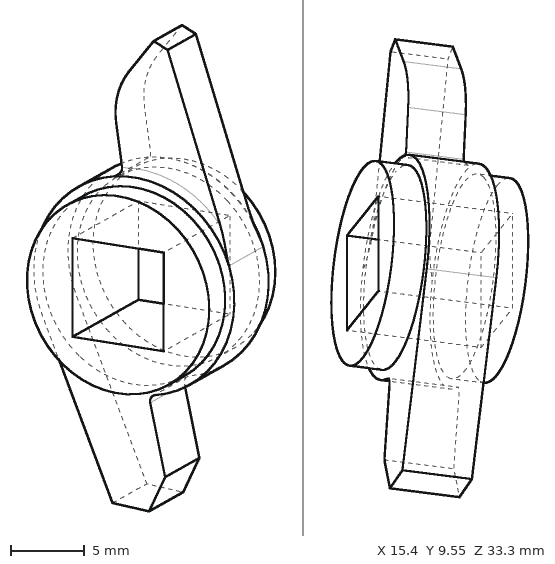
import cadquery as cq
import math

hub_radius = 7.0
hub_length = 9.55
square_bore = 7.0

disc_radius = 7.7
disc_thickness = 4.95

upper_arm_thickness = 4.1
upper_tip_outer = (2.35, 16.97)
upper_tip_inner = (1.28, 17.45)
upper_shoulder = (-1.92, 13.33)
upper_root_x = -1.07
shoulder_radius = 5.0

lower_tip_outer = (-1.655, -15.67)
lower_tip_inner = (1.15, -15.85)
lower_shoulder = (2.39, -13.23)
lower_root_x = 1.13

root_fillet = 0.5


def height_on_disc(x):
    """Positive z of the disc rim at a given x."""
    return math.sqrt(disc_radius**2 - x**2)


def tangent_point(point):
    """Rim point where the line from an arm tip touches the disc, clockwise from the tip."""
    x, z = point
    angle = math.atan2(z, x) - math.acos(disc_radius / math.hypot(x, z))
    return (disc_radius * math.cos(angle), disc_radius * math.sin(angle))


upper_root = (upper_root_x, height_on_disc(upper_root_x))
lower_root = (lower_root_x, -height_on_disc(lower_root_x))


def fillet_corner(body, corner, radius):
    """Round the Y-parallel edge that stands on an outline corner."""
    x, z = corner
    edge = cq.selectors.NearestToPointSelector((x, 0, z))
    return body.edges("|Y").edges(edge).fillet(radius)


def make_plate():
    """Disc and both arms as one plate of disc thickness."""
    plate = (
        cq.Workplane("XZ")
        .moveTo(*tangent_point(upper_tip_outer))
        .lineTo(*upper_tip_outer)
        .lineTo(*upper_tip_inner)
        .lineTo(*upper_shoulder)
        .lineTo(*upper_root)
        .threePointArc((-disc_radius, 0), tangent_point(lower_tip_outer))
        .lineTo(*lower_tip_outer)
        .lineTo(*lower_tip_inner)
        .lineTo(*lower_shoulder)
        .lineTo(*lower_root)
        .threePointArc((disc_radius, 0), tangent_point(upper_tip_outer))
        .close()
        .extrude(disc_thickness / 2, both=True)
    )
    plate = fillet_corner(plate, upper_shoulder, shoulder_radius)
    plate = fillet_corner(plate, upper_root, root_fillet)
    return fillet_corner(plate, lower_root, root_fillet)


def make_face_relief():
    """Material removed from the front (-Y) face of the upper arm, with a fillet at the disc rim."""
    arm_face = upper_arm_thickness / 2
    disc_face = disc_thickness / 2
    centre_y = arm_face + root_fillet
    fillet_run = math.sqrt(root_fillet**2 - (centre_y - disc_face) ** 2)
    centre_r = disc_radius + fillet_run
    half_angle = math.asin(fillet_run / root_fillet) / 2
    middle = (
        centre_r - root_fillet * math.sin(half_angle),
        -(centre_y - root_fillet * math.cos(half_angle)),
    )
    outer_r = 2 * math.hypot(*upper_tip_inner)
    ring = (
        cq.Workplane("XY")
        .moveTo(disc_radius, -disc_face)
        .threePointArc(middle, (centre_r, -arm_face))
        .lineTo(outer_r, -arm_face)
        .lineTo(outer_r, -disc_face)
        .close()
        .revolve(360, (0, 0, 0), (0, 1, 0))
    )
    upper_half = cq.Workplane("XY").box(
        2 * outer_r, hub_length, outer_r, centered=(True, True, False)
    )
    return ring.intersect(upper_half)


def make_hub():
    return cq.Workplane("XZ").circle(hub_radius).extrude(hub_length / 2, both=True)


def make_bore():
    return cq.Workplane("XZ").rect(square_bore, square_bore).extrude(hub_length / 2, both=True)


front_relief = make_face_relief()
back_relief = front_relief.mirror("XZ")
arms = make_plate().cut(front_relief).cut(back_relief)
result = arms.union(make_hub()).cut(make_bore())